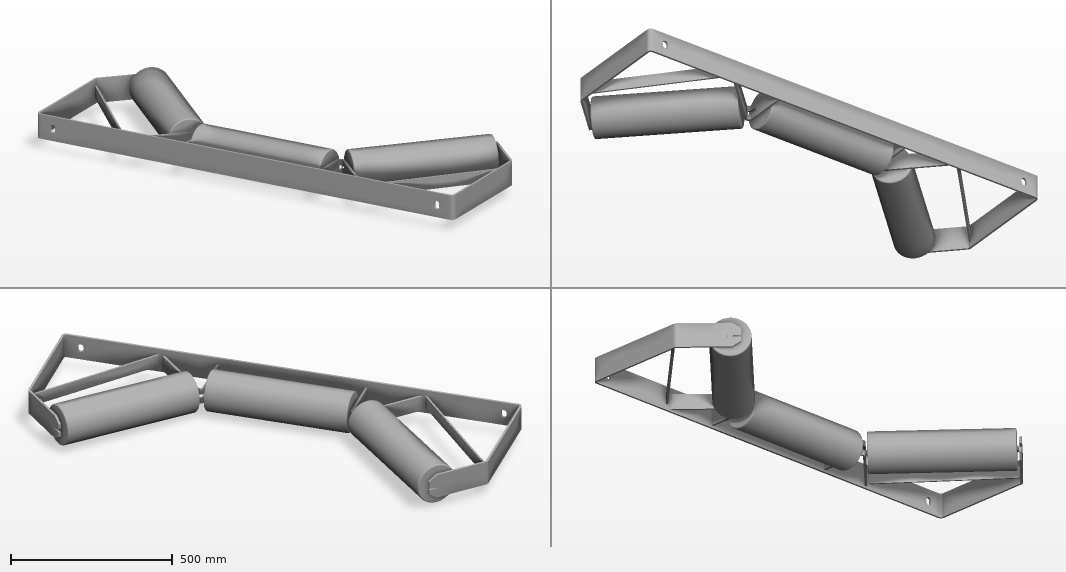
import cadquery as cq
import math

frame_length = 1490.0
frame_height = 80.0
strip = 7.0
bend_inner = 7.0
post_height = 368.0
arm_length = 204.0
tip_chamfer_along = 27.0
tip_chamfer_high = 18.0

bolt_slot_inset = 60.0
bolt_slot_width = 18.0
bolt_slot_height = 27.0

bracket_height = 50.0
bracket_x = 237.0
bracket_foot_x = 429.0

brace_thickness = 6.0
brace_height = 40.0
brace_top_y = 358.0
brace_foot_x = 435.0

roller_diameter = 133.0
roller_length = 463.0
roller_edge_radius = 5.0
shaft_diameter = 20.0
shaft_flats = 13.0
middle_roller_y = 124.0
side_roller_x = 450.0
side_roller_y = 315.0
roller_drop = 7.0

half_length = frame_length / 2
bend_outer = bend_inner + strip
diagonal = math.sqrt(0.5)
arm_reach = arm_length * diagonal
bracket_top_y = bracket_foot_x - bracket_x

arm_line = post_height + half_length
leg_line = bracket_foot_x - strip / diagonal
side_shaft_length = (arm_line - leg_line) * diagonal
side_shaft_middle = (arm_line + leg_line) / 2
side_shaft_shift = (side_shaft_middle - side_roller_y - side_roller_x) * diagonal
side_tilt = math.degrees(math.atan2(roller_drop, side_shaft_length))
middle_shaft_length = 2 * (bracket_x + strip)


def offset_path(points, distance):
    """Shift an open path to its left by a distance, with mitred corners."""
    normals = []
    for (x0, y0), (x1, y1) in zip(points, points[1:]):
        length = math.hypot(x1 - x0, y1 - y0)
        normals.append(((y0 - y1) / length, (x1 - x0) / length))
    shifted = []
    for (x, y), before, after in zip(points, normals[:1] + normals, normals + normals[-1:]):
        reach = distance / (1 + before[0] * after[0] + before[1] * after[1])
        shifted.append((x + reach * (before[0] + after[0]), y + reach * (before[1] + after[1])))
    return shifted


def bent_bar(outer, thickness, height):
    """A flat bar standing on edge; its outer face follows a path and its bends are round."""
    inner = offset_path(outer, thickness)
    bar = cq.Workplane("XY").polyline(outer + inner[::-1]).close().extrude(height / 2, both=True)
    for path, radius in ((outer, bend_outer), (inner, bend_inner)):
        for x, y in path[1:-1]:
            bar = bar.edges(cq.NearestToPointSelector((x, y, 0))).fillet(radius)
    return bar


def with_mirror(body):
    return body.union(body.mirror("YZ"))


def place_middle(body):
    return body.translate((0, middle_roller_y, -roller_drop))


def place_left(body):
    """Outer end up at mid height, inner end down at the bracket."""
    tilted = body.rotate((0, 0, 0), (0, 1, 0), side_tilt)
    turned = tilted.rotate((0, 0, 0), (0, 0, 1), -45)
    return turned.translate((-side_roller_x, side_roller_y, -roller_drop / 2))


def bar_along_x(diameter, length):
    end_plane = cq.Plane(origin=(-length / 2, 0, 0), xDir=(0, 0, 1), normal=(1, 0, 0))
    return cq.Workplane(end_plane).circle(diameter / 2).extrude(length)


def make_roller(shaft_length, shaft_shift):
    """A drum with rounded rims on a shaft that has flats on its top and bottom."""
    drum = bar_along_x(roller_diameter, roller_length).edges().fillet(roller_edge_radius)
    flats = cq.Workplane("XY").box(shaft_length, shaft_diameter, shaft_flats)
    shaft = bar_along_x(shaft_diameter, shaft_length).intersect(flats)
    return drum.union(shaft.translate((-shaft_shift, 0, 0)))


def shaft_slot(shaft_length, shaft_shift):
    """The room a shaft needs to drop into its holders: as wide as the flats, open on the +Y side."""
    return (
        cq.Workplane("XY")
        .box(shaft_length, roller_diameter, shaft_flats)
        .translate((-shaft_shift, (roller_diameter - shaft_diameter) / 2, 0))
    )


def make_main_bar():
    """Base, side posts and arms, bent from one bar."""
    left = [
        (-half_length + arm_reach, post_height + arm_reach),
        (-half_length, post_height),
        (-half_length, 0),
    ]
    right = [(-x, y) for x, y in reversed(left)]
    return bent_bar(left + right, strip, frame_height)


def make_tip_corners():
    """The wedges cut from the top and bottom corners of the left arm tip."""
    tip_plane = cq.Plane(
        origin=(-half_length + arm_reach, post_height + arm_reach, 0),
        xDir=(1, 1, 0),
        normal=(1, -1, 0),
    )
    top = frame_height / 2
    wedge = (
        cq.Workplane(tip_plane)
        .polyline([(0, top), (-tip_chamfer_along, top), (0, top - tip_chamfer_high)])
        .close()
        .extrude(strip)
    )
    return wedge.union(wedge.mirror("XY"))


def make_bolt_slots():
    slot_x = half_length - bolt_slot_inset
    return (
        cq.Workplane("XZ")
        .pushPoints([(-slot_x, 0), (slot_x, 0)])
        .slot2D(bolt_slot_height, bolt_slot_width, 90)
        .extrude(-strip)
    )


def make_left_bracket():
    path = [(-bracket_x, strip), (-bracket_x, bracket_top_y), (strip - bracket_foot_x, strip)]
    return bent_bar(path, strip, bracket_height).translate((0, 0, -roller_drop))


def make_left_brace():
    path = [(-half_length + strip / 2, brace_top_y), (-brace_foot_x, strip / 2)]
    return bent_bar(path, brace_thickness, brace_height)


def make_frame():
    left_slot = place_left(shaft_slot(side_shaft_length, side_shaft_shift))
    middle_slot = shaft_slot(middle_shaft_length + 2 * bend_inner, 0)
    return (
        make_main_bar()
        .union(with_mirror(make_left_bracket()))
        .union(with_mirror(make_left_brace()))
        .cut(make_bolt_slots())
        .cut(with_mirror(make_tip_corners()))
        .cut(with_mirror(left_slot))
        .cut(place_middle(middle_slot))
    )


frame = make_frame()
middle_roller = place_middle(make_roller(middle_shaft_length, 0))
left_roller = place_left(make_roller(side_shaft_length, side_shaft_shift))
side_rollers = [left_roller, left_roller.mirror("YZ")]

result = cq.Compound.makeCompound(
    [frame.val(), middle_roller.val(), *[roller.val() for roller in side_rollers]]
)